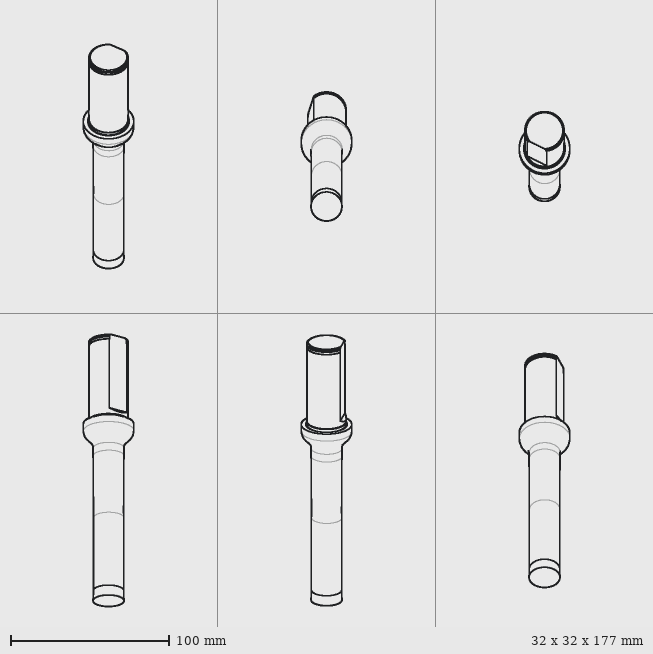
import cadquery as cq

total_length = 177.0
point_height = 0.4
tip_edge_top = 1.0
tip_top = 7.3
body_top = 57.0
neck_top = 99.1
flare_bottom = 104.5
flange_bottom = 116.1
flange_top = 120.7
shank_bottom = 122.8

tip_diameter = 19.6
body_diameter = 19.3
collar_diameter = 19.6
flange_diameter = 32.0
shank_diameter = 25.0
relief_diameter = 24.5
undercut_diameter = 26.2

end_chamfer = 0.9
end_chamfer_height = 0.7
groove_bottom = 173.6
groove_top = 175.2
groove_slope = 0.7
relief_slope = 0.5
undercut_depth = 0.4

flat_offset = 10.5
flat_bottom = 126.7


def make_tip():
    """Drill tip: a cutting edge land with back taper, ending in a very shallow conical point."""
    radius = tip_diameter / 2
    profile = (
        cq.Workplane("XZ")
        .moveTo(0, 0)
        .lineTo(radius, point_height)
        .lineTo(radius, tip_edge_top)
        .lineTo(body_diameter / 2, tip_top)
        .lineTo(0, tip_top)
        .close()
    )
    return profile.revolve(360, (0, 0), (0, 1))


def make_turned_holder():
    """Body, neck, flared flange and shank turned about the Z axis."""
    body_radius = body_diameter / 2
    collar_radius = collar_diameter / 2
    flange_radius = flange_diameter / 2
    shank_radius = shank_diameter / 2
    relief_radius = relief_diameter / 2
    undercut_radius = undercut_diameter / 2

    flare_end = (flange_radius, flange_bottom)
    vertical = (0, 1)

    profile = (
        cq.Workplane("XZ")
        .moveTo(0, tip_top)
        .lineTo(body_radius, tip_top)
        .lineTo(body_radius, body_top)
        .lineTo(collar_radius, neck_top)
        .lineTo(collar_radius, flare_bottom)
        .spline([flare_end], tangents=[vertical, vertical], includeCurrent=True)
        .lineTo(flange_radius, flange_top)
        .lineTo(undercut_radius, flange_top)
        .lineTo(relief_radius, flange_top - undercut_depth)
        .lineTo(relief_radius, shank_bottom - relief_slope)
        .lineTo(shank_radius, shank_bottom)
        .lineTo(shank_radius, groove_bottom)
        .lineTo(relief_radius, groove_bottom)
        .lineTo(relief_radius, groove_top)
        .lineTo(shank_radius, groove_top + groove_slope)
        .lineTo(shank_radius, total_length - end_chamfer_height)
        .lineTo(shank_radius - end_chamfer, total_length)
        .lineTo(0, total_length)
        .close()
    )
    return profile.revolve(360, (0, 0), (0, 1))


def make_flat_cutter():
    """Material removed above the clamping flat and its sloping run-out."""
    outer = flange_diameter / 2
    run_out = outer - flat_offset
    profile = (
        cq.Workplane("YZ")
        .moveTo(flat_offset, flat_bottom)
        .lineTo(outer, flat_bottom - run_out)
        .lineTo(outer, total_length)
        .lineTo(flat_offset, total_length)
        .close()
    )
    return profile.extrude(shank_diameter / 2, both=True)


tip = make_tip()
holder = make_turned_holder().cut(make_flat_cutter())

result = cq.Compound.makeCompound([holder.val(), tip.val()])